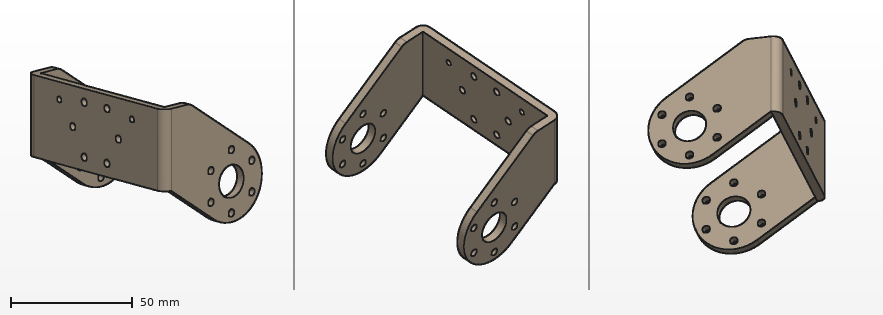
import cadquery as cq
import math


outer_width = 81.3
sheet_thickness = 4.0
bend_outer_radius = sheet_thickness
web_height = 35.0
overall_depth = 55.94
overall_height = 54.94

lug_radius = 17.5
lug_shoulder_radius = 5.0
lug_bore_diameter = 14.0

bolt_circle_radius = 13.5
bolt_hole_count = 6
bolt_hole_diameter = 3.2

pilot_hole_diameter = 2.53
pilot_half_spacing = 21.55
pilot_rise = 10.0

bore_y = overall_depth - lug_radius
top_z = overall_height - lug_radius
web_bottom_z = top_z - web_height
web_center_z = top_z - web_height / 2

start_dy = bore_y - bend_outer_radius
start_distance = math.hypot(start_dy, web_bottom_z)
lug_slope = math.asin(lug_radius / start_distance) + math.atan2(web_bottom_z, start_dy)
tangent_dy = lug_radius * math.sin(lug_slope)
tangent_dz = lug_radius * math.cos(lug_slope)
shoulder_y = bore_y + tangent_dy - (top_z - tangent_dz) / math.tan(lug_slope)


def bent_channel():
    """Full-height U channel with rounded outer bends and sharp inner corners."""
    channel = (
        cq.Workplane("XY")
        .box(outer_width, overall_depth, overall_height, centered=(True, False, False))
        .edges("|Z and <Y")
        .fillet(bend_outer_radius)
    )
    opening = cq.Workplane("XY").box(
        outer_width - 2 * sheet_thickness,
        overall_depth,
        overall_height,
        centered=(True, False, False),
    )
    channel = channel.cut(opening.translate((0, sheet_thickness, 0)))
    return channel.translate((0, 0, -lug_radius))


def side_profile():
    """Side silhouette of web and lugs, extruded across the full width."""
    profile = (
        cq.Workplane("YZ")
        .moveTo(0, top_z)
        .lineTo(0, web_bottom_z)
        .lineTo(bend_outer_radius, web_bottom_z)
        .lineTo(bore_y - tangent_dy, -tangent_dz)
        .threePointArc((overall_depth, 0), (bore_y + tangent_dy, tangent_dz))
        .lineTo(shoulder_y, top_z)
        .close()
        .extrude(outer_width / 2, both=True)
    )
    shoulder = cq.selectors.NearestToPointSelector((0, shoulder_y, top_z))
    return profile.edges("|X").edges(shoulder).fillet(lug_shoulder_radius)


def bolt_circle_points(center, start_angle):
    """Evenly spaced points on the bolt circle about a center, first one at start_angle degrees."""
    points = []
    for index in range(bolt_hole_count):
        angle = math.radians(start_angle + index * 360 / bolt_hole_count)
        u = center[0] + bolt_circle_radius * math.cos(angle)
        v = center[1] + bolt_circle_radius * math.sin(angle)
        points.append((u, v))
    return points


def lug_cutter(points, diameter):
    """Cylinders along X that pass through both lugs."""
    return cq.Workplane("YZ").pushPoints(points).circle(diameter / 2).extrude(outer_width / 2, both=True)


def web_cutter(points, diameter):
    """Cylinders along Y that pass through the web."""
    return cq.Workplane("XZ").pushPoints(points).circle(diameter / 2).extrude(-sheet_thickness)


bore_center = (bore_y, 0)
web_center = (0, web_center_z)
pilot_z = web_center_z + pilot_rise
pilot_points = [(side * pilot_half_spacing, pilot_z) for side in (-1, 1)]

result = bent_channel().intersect(side_profile())

result = result.cut(lug_cutter([bore_center], lug_bore_diameter))
result = result.cut(lug_cutter(bolt_circle_points(bore_center, 90), bolt_hole_diameter))

result = result.cut(web_cutter(bolt_circle_points(web_center, 0), bolt_hole_diameter))
result = result.cut(web_cutter(pilot_points, pilot_hole_diameter))